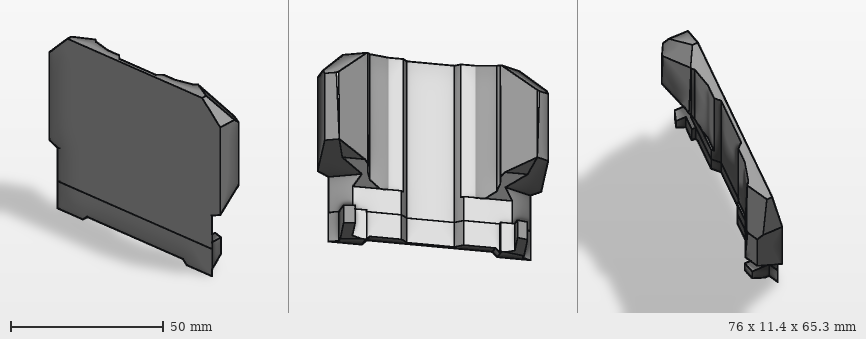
import cadquery as cq

width = 76.0
height = 65.35
half_width = width / 2
base_height = 10.25

flank_slope = 0.543
cover_foot_half_width = 34.35
base_half_width = 34.4
flank_depth = 9.05
flank_low_z = 22.7
flank_mid_z = 32.0
flank_high_z = 55.5
corner_chamfer = 8.05
chamfer_flank_depth = 2.0

web_depth = 1.45
groove_half_width = 8.05
plate_depth = 3.95
plate_edge = groove_half_width + plate_depth - web_depth

cover_pad_depth = 3.2
cover_pad_edge = groove_half_width + cover_pad_depth - web_depth
wing_tip = (33.7, 11.4)
wing_root = (22.6, 5.8)
wing_lean = 0.02
wing_step = (21.6, 4.9)
pad_end = (14.8, cover_pad_depth)
lower_plate_top = 18.7
lower_bend = (7.1, 27.35)

foot_side = 31.2
foot_side_depth = 7.8
foot_tip = (27.6, 8.9)
foot_inner = 22.8
foot_pad_depth = 5.4
foot_chamfer_height = 4.1
foot_chamfer_depth = 4.4
relief_height = 1.7
relief_half_width = 21.35
margin = 22.8


def mirrored_prism(half_outline, bottom, top):
    """Extrude an outline given for X >= 0 and its mirror image between two heights."""
    outline = half_outline + [(-x, y) for x, y in reversed(half_outline)]
    return cq.Workplane("XY").workplane(offset=bottom).polyline(outline).close().extrude(top - bottom)


def sheared_prism(profile, start_x, run):
    """Sweep a Y, Z profile inward along +X while moving it back by the flank slope."""
    wire = cq.Wire.makePolygon([cq.Vector(start_x, y, z) for y, z in profile], close=True)
    path = cq.Vector(run, flank_slope * run, 0)
    return cq.Workplane(obj=cq.Solid.extrudeLinear(wire, [], path))


def make_flank_envelope():
    """Bound the cover by ramped flanks that slope back from both sides."""
    low_depth = -flank_slope * (half_width - cover_foot_half_width)
    top_depth = chamfer_flank_depth - flank_slope * corner_chamfer
    front = -flank_slope * half_width - margin
    profile = [
        (front, base_height), (low_depth, base_height), (low_depth, flank_low_z),
        (flank_depth, flank_mid_z), (flank_depth, flank_high_z),
        (top_depth, height), (front, height),
    ]
    left = sheared_prism(profile, -half_width, half_width)
    return left.union(left.mirror("YZ"))


def make_left_wing():
    """Block at the left side whose back leans forward with height."""
    rise = height - base_height
    tip_depth = wing_tip[1] + wing_lean * (flank_mid_z - base_height)
    root_depth = wing_root[1] + wing_lean * rise
    plan = [
        (-half_width, -margin), (-half_width, tip_depth), (-wing_tip[0], tip_depth),
        (-wing_root[0], root_depth), (-wing_root[0], -margin),
    ]
    wire = cq.Wire.makePolygon([cq.Vector(x, y, base_height) for x, y in plan], close=True)
    path = cq.Vector(0, -wing_lean * rise, rise)
    return cq.Workplane(obj=cq.Solid.extrudeLinear(wire, [], path))


def make_cover():
    back = [
        (wing_root[0], 0), wing_root, wing_step, pad_end,
        (cover_pad_edge, cover_pad_depth), (groove_half_width, web_depth),
    ]
    plate = [
        (half_width, 0), (half_width, plate_depth),
        (plate_edge, plate_depth), (groove_half_width, web_depth),
    ]
    body = mirrored_prism(back, base_height, height)
    left_wing = make_left_wing()
    body = body.union(left_wing).union(left_wing.mirror("YZ"))
    body = body.union(mirrored_prism(plate, base_height, lower_plate_top))

    side_outline = (
        cq.Workplane("YZ")
        .polyline([
            (0, base_height), (plate_depth, base_height), (plate_depth, lower_plate_top),
            lower_bend, (wing_tip[1], flank_mid_z), (wing_tip[1], height), (0, height),
        ])
        .close()
        .extrude(half_width, both=True)
    )
    chamfered_block = (
        cq.Workplane("XY")
        .box(width, wing_tip[1], height, centered=(True, False, False))
        .edges("|Y and >Z")
        .chamfer(corner_chamfer)
    )
    return body.intersect(side_outline).intersect(chamfered_block).intersect(make_flank_envelope())


def make_foot_chamfer():
    """Wedge below the left foot, parallel to its slanted back face."""
    slant = (foot_tip[1] - foot_side_depth) / (foot_side - foot_tip[0])
    run = foot_side - foot_inner
    rate = foot_chamfer_depth / foot_chamfer_height
    profile = [
        (foot_side_depth - foot_chamfer_depth, 0),
        (foot_side_depth + rate * margin, foot_chamfer_height + margin),
        (foot_side_depth + rate * margin, 0),
    ]
    wire = cq.Wire.makePolygon([cq.Vector(-foot_side, y, z) for y, z in profile], close=True)
    wedge = cq.Solid.extrudeLinear(wire, [], cq.Vector(run, slant * run, 0))
    return cq.Workplane(obj=wedge)


def make_base():
    plan = [
        (base_half_width, 0), (foot_side, flank_slope * (base_half_width - foot_side)),
        (foot_side, foot_side_depth), foot_tip, (foot_tip[0], foot_pad_depth),
        (foot_inner, foot_pad_depth), (foot_inner, plate_depth),
        (plate_edge, plate_depth), (groove_half_width, web_depth),
    ]
    body = mirrored_prism(plan, 0, base_height)
    wedge = make_foot_chamfer()
    body = body.cut(wedge).cut(wedge.mirror("YZ"))

    relief_base = relief_half_width + relief_height
    relief = (
        cq.Workplane("XZ")
        .polyline([
            (-relief_base, 0), (-relief_half_width, relief_height),
            (relief_half_width, relief_height), (relief_base, 0),
        ])
        .close()
        .extrude(-margin)
    )
    return body.cut(relief)


cover = make_cover()
base = make_base()
result = cq.Compound.makeCompound([cover.solids().val(), base.solids().val()])